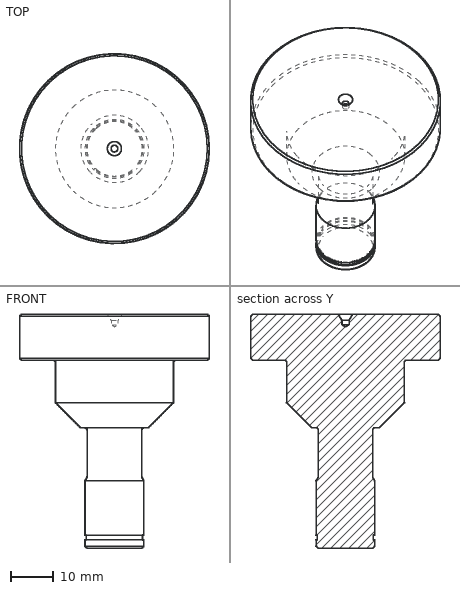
import cadquery as cq
import math


total_length = 55.5

head_diameter = 45.0
head_height = 11.0
edge_chamfer = 0.5

boss_diameter = 28.0
boss_height = 10.0
taper_height = 6.0
root_fillet = 0.5

neck_diameter = 13.0

pin_diameter = 14.0
pin_length = 16.0
lead_angle = math.radians(30)

groove_diameter = 13.4
groove_width = 1.1
groove_to_tip = 2.0

centre_mouth_diameter = 3.35
centre_pilot_diameter = 1.6
centre_cone_half_angle = math.radians(30)
centre_pilot_length = 1.0
drill_point_half_angle = math.radians(59)

head_radius = head_diameter / 2
boss_radius = boss_diameter / 2
neck_radius = neck_diameter / 2
pin_radius = pin_diameter / 2
groove_radius = groove_diameter / 2
taper_end_radius = boss_radius - taper_height

head_bottom = total_length - head_height
boss_bottom = head_bottom - boss_height
taper_bottom = boss_bottom - taper_height
groove_top = groove_to_tip + groove_width


def quarter_arc_middle(centre_radius, centre_z, arc_radius):
    """Middle point of a root fillet, nearest the axis and the shoulder above."""
    offset = arc_radius * math.sin(math.radians(45))
    return centre_radius - offset, centre_z + offset


def make_body():
    """Revolve the half section of the stepped body about Z."""
    blend_rise = root_fillet * math.sin(lead_angle)
    blend_step = root_fillet * (1 - math.cos(lead_angle))
    lead_top_radius = neck_radius + blend_step
    lead_top = pin_length + (pin_radius - lead_top_radius) / math.tan(lead_angle)
    blend_top = lead_top + blend_rise
    blend_middle = (
        neck_radius + root_fillet * (1 - math.cos(lead_angle / 2)),
        blend_top - root_fillet * math.sin(lead_angle / 2),
    )

    neck_fillet_start = taper_bottom - root_fillet
    boss_fillet_start = head_bottom - root_fillet

    section = (
        cq.Workplane("XZ")
        .moveTo(0, 0)
        .lineTo(pin_radius - edge_chamfer, 0)
        .lineTo(pin_radius, edge_chamfer)
        .lineTo(pin_radius, groove_to_tip)
        .lineTo(groove_radius, groove_to_tip)
        .lineTo(groove_radius, groove_top)
        .lineTo(pin_radius, groove_top)
        .lineTo(pin_radius, pin_length)
        .lineTo(lead_top_radius, lead_top)
        .threePointArc(blend_middle, (neck_radius, blend_top))
        .lineTo(neck_radius, neck_fillet_start)
        .threePointArc(
            quarter_arc_middle(neck_radius + root_fillet, neck_fillet_start, root_fillet),
            (neck_radius + root_fillet, taper_bottom),
        )
        .lineTo(taper_end_radius, taper_bottom)
        .lineTo(boss_radius, boss_bottom)
        .lineTo(boss_radius, boss_fillet_start)
        .threePointArc(
            quarter_arc_middle(boss_radius + root_fillet, boss_fillet_start, root_fillet),
            (boss_radius + root_fillet, head_bottom),
        )
        .lineTo(head_radius - edge_chamfer, head_bottom)
        .lineTo(head_radius, head_bottom + edge_chamfer)
        .lineTo(head_radius, total_length - edge_chamfer)
        .lineTo(head_radius - edge_chamfer, total_length)
        .lineTo(0, total_length)
        .close()
    )
    return section.revolve(360, (0, 0, 0), (0, 1, 0))


def make_centre_hole():
    """Centre-drill cavity in the top face: cone, pilot hole and drill point."""
    mouth_radius = centre_mouth_diameter / 2
    pilot_radius = centre_pilot_diameter / 2
    pilot_top = total_length - (mouth_radius - pilot_radius) / math.tan(centre_cone_half_angle)
    pilot_bottom = pilot_top - centre_pilot_length
    drill_tip = pilot_bottom - pilot_radius / math.tan(drill_point_half_angle)

    section = (
        cq.Workplane("XZ")
        .moveTo(0, total_length)
        .lineTo(mouth_radius, total_length)
        .lineTo(pilot_radius, pilot_top)
        .lineTo(pilot_radius, pilot_bottom)
        .lineTo(0, drill_tip)
        .close()
    )
    return section.revolve(360, (0, 0, 0), (0, 1, 0))


result = make_body().cut(make_centre_hole())